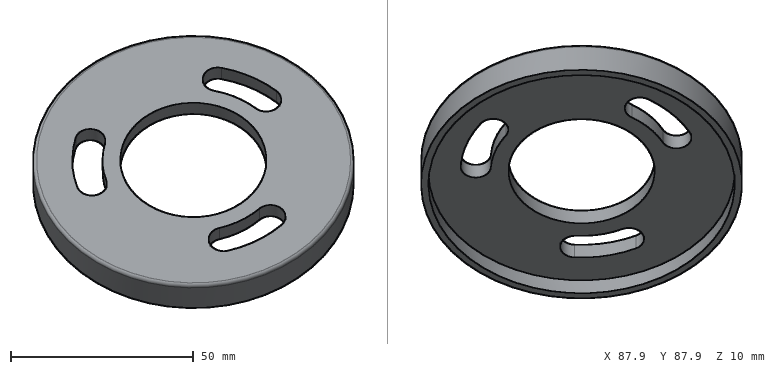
import cadquery as cq
import math

outer_diameter = 87.9
height = 10.0
top_fillet = 1.0

plate_thickness = 5.0
rim_thickness = 2.0
bore_diameter = 40.0

slot_count = 3
slot_path_radius = 29.0
slot_width = 8.3
slot_half_angle = 15.0
first_slot_angle = 90.0


def polar(radius, angle):
    """Point at the given radius and angle in degrees."""
    radians = math.radians(angle)
    return (radius * math.cos(radians), radius * math.sin(radians))


def curved_slot(middle_angle):
    """Through cutter following an arc about the axis, with round ends."""
    start = middle_angle - slot_half_angle
    end = middle_angle + slot_half_angle
    inner = slot_path_radius - slot_width / 2
    outer = slot_path_radius + slot_width / 2
    cap_reach = slot_width / 2
    end_tip = (
        polar(slot_path_radius, end)[0] + polar(cap_reach, end + 90)[0],
        polar(slot_path_radius, end)[1] + polar(cap_reach, end + 90)[1],
    )
    start_tip = (
        polar(slot_path_radius, start)[0] + polar(cap_reach, start - 90)[0],
        polar(slot_path_radius, start)[1] + polar(cap_reach, start - 90)[1],
    )
    return (
        cq.Workplane("XY")
        .moveTo(*polar(outer, start))
        .threePointArc(polar(outer, middle_angle), polar(outer, end))
        .threePointArc(end_tip, polar(inner, end))
        .threePointArc(polar(inner, middle_angle), polar(inner, start))
        .threePointArc(start_tip, polar(outer, start))
        .close()
        .extrude(height)
    )


body = cq.Workplane("XY").circle(outer_diameter / 2).extrude(height)
body = body.faces(">Z").edges().fillet(top_fillet)

recess_radius = outer_diameter / 2 - rim_thickness
recess = cq.Workplane("XY").circle(recess_radius).extrude(height - plate_thickness)
body = body.cut(recess)

bore = cq.Workplane("XY").circle(bore_diameter / 2).extrude(height)
body = body.cut(bore)

for index in range(slot_count):
    body = body.cut(curved_slot(first_slot_angle + index * 360 / slot_count))

result = body